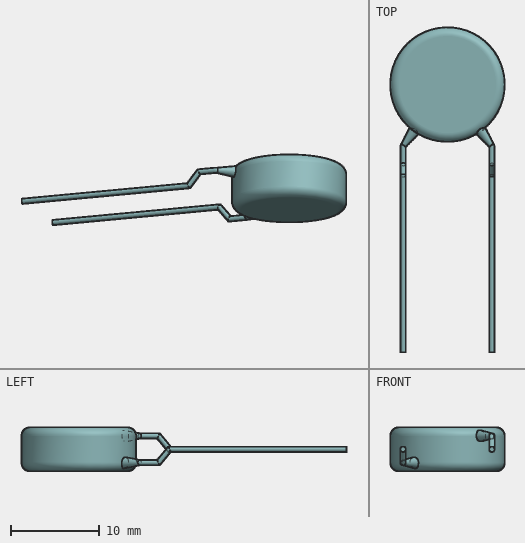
import cadquery as cq
import math

disc_diameter = 13.0
disc_height = 5.0
disc_rim_radius = 1.0

overall_length = 36.8
lead_spacing = 10.05
lead_diameter = 0.63
lead_offset = 1.5
elbow_distance = 7.05
elbow_bend_radius = 0.33
step_start = 9.0
step_end = 10.25

taper_angle = 9.0
cone_length = 2.95

lead_radius = lead_diameter / 2
lead_x = lead_spacing / 2
lead_end = overall_length - disc_diameter / 2
cone_end_radius = lead_radius + cone_length * math.tan(math.radians(taper_angle))

pivot_x = elbow_bend_radius - lead_x
pivot_y = -elbow_distance
elbow_angle = math.degrees(
    math.atan2(-pivot_x, -pivot_y) + math.asin(elbow_bend_radius / math.hypot(pivot_x, pivot_y))
)


def make_disc():
    """Cylinder with both rims rounded."""
    bottom_plane = cq.Workplane("XY", origin=(0, 0, -disc_height / 2))
    disc = bottom_plane.circle(disc_diameter / 2).extrude(disc_height)
    return disc.edges("%CIRCLE").fillet(disc_rim_radius)


def place_on_side(body, turn):
    """Turn a left-hand body about Y; half a turn puts it on the opposite side and face."""
    return body.rotate((0, 0, 0), (0, 1, 0), turn)


def lead_section():
    """Round cross-section of the left-hand lead where the elbow ends."""
    return cq.Workplane("XZ", origin=(-lead_x, -elbow_distance, -lead_offset)).circle(lead_radius)


def make_lead(turn):
    """Round wire with an elbow at the cone, then a mitred step to the mid-plane."""
    path = cq.Workplane("YZ", origin=(-lead_x, 0, 0)).polyline([
        (-elbow_distance, -lead_offset),
        (-step_start, -lead_offset),
        (-step_end, 0),
        (-lead_end, 0),
    ])
    wire = lead_section().sweep(path, transition="right")

    axis_start = (elbow_bend_radius, 0.35)
    axis_end = (elbow_bend_radius, -0.35)
    elbow = lead_section().revolve(elbow_angle, axis_start, axis_end)
    return place_on_side(wire.union(elbow), turn)


def make_cone(disc, turn):
    """Tapered coating from the elbow to the disc, trimmed to the disc surface."""
    angle = math.radians(elbow_angle)
    direction = cq.Vector(math.sin(angle), math.cos(angle), 0)
    tip = cq.Vector(
        pivot_x - elbow_bend_radius * math.cos(angle),
        pivot_y + elbow_bend_radius * math.sin(angle),
        -lead_offset,
    )
    cone = cq.Solid.makeCone(lead_radius, cone_end_radius, cone_length, tip, direction)
    return place_on_side(cq.Workplane(cone), turn).cut(disc)


disc = make_disc()
side_turns = (0, 180)
leads = [make_lead(turn) for turn in side_turns]
cones = [make_cone(disc, turn) for turn in side_turns]

result = cq.Compound.makeCompound([
    disc.val(),
    *[lead.solids().val() for lead in leads],
    *[cone.solids().val() for cone in cones],
])